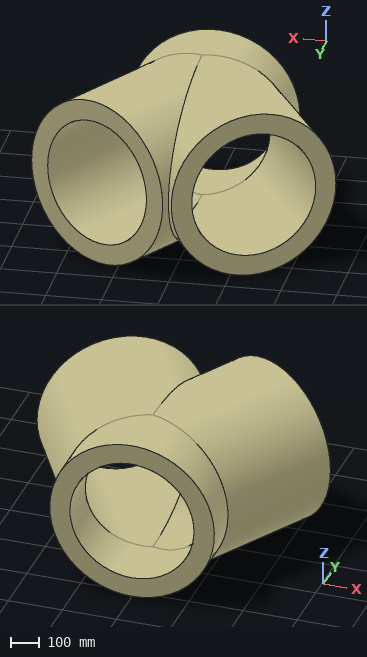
import cadquery as cq
import math

width = 1087.0
depth = 865.0
outer_diameter = 610.0
bore_diameter = 459.0
arm_angle = 30.0

tilt = math.radians(arm_angle)
outer_radius = outer_diameter / 2
arm_length = (width / 2 - outer_radius * math.cos(tilt)) / math.sin(tilt)
junction_y = depth - arm_length * math.cos(tilt) - outer_radius * math.sin(tilt)
miter_slope = math.tan(tilt / 2)
reach = width


def pipe_rod(diameter, length, direction):
    """Solid rod along direction, centred on the junction so that it passes through it."""
    plane = cq.Plane(origin=(0, junction_y, 0), normal=direction)
    back_length = outer_diameter
    return (
        cq.Workplane(plane)
        .workplane(offset=-back_length)
        .circle(diameter / 2)
        .extrude(back_length + length)
    )


def trimming_prism(corners):
    return cq.Workplane("XY").polyline(corners).close().extrude(reach, both=True)


def wye(diameter):
    """Three equal rods joined along the planes that bisect their axes."""
    junction = (0, junction_y)
    miter_right = (reach, junction_y - reach * miter_slope)
    miter_left = (-reach, junction_y - reach * miter_slope)

    leg_zone = trimming_prism([junction, miter_right, (reach, -reach), (-reach, -reach), miter_left])
    leg = pipe_rod(diameter, junction_y, (0, -1, 0)).intersect(leg_zone)

    arm_zone = trimming_prism([junction, miter_right, (reach, 2 * reach), (0, 2 * reach)])
    arm_direction = (math.sin(tilt), math.cos(tilt), 0)
    right_arm = pipe_rod(diameter, arm_length, arm_direction).intersect(arm_zone)
    left_arm = right_arm.mirror("YZ")

    return leg.union(right_arm).union(left_arm)


result = wye(outer_diameter).cut(wye(bore_diameter))